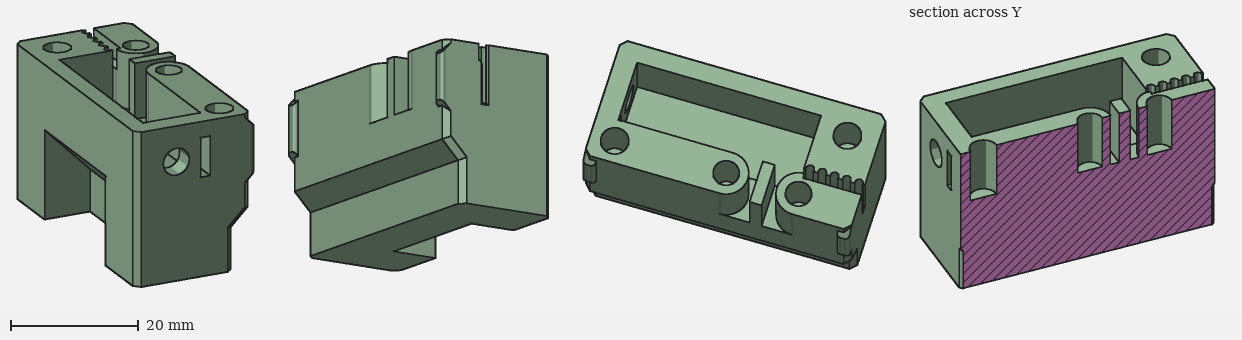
import cadquery as cq

length = 43.5
depth = 20.0
height = 26.0
corner_chamfer = 1.0

lower_depth = 17.0
back_step = depth - lower_depth
upper_back_height = 16.0

pad_width = 2.0
pad_rise = 0.75
pad_radius = 0.6
pad_top_drop = 0.55
pad_bottom_drop = 11.55

pocket_left = 9.9
pocket_right = 40.0
pocket_front = 3.0
pocket_back = 12.95
pocket_drop = 11.05

belt_floor_drop = 9.4
exit_top_drop = 2.7
exit_bottom_drop = 9.3
exit_width = 1.6
clamp_gap = 0.75
tooth_pitch = 2.0
tooth_count = 5
first_root_x = 0.95
root_diameter = 1.3
root_depth = 0.85
relief_width = 0.8
relief_drop = 2.52
relief_end = 9.55
lip_radius = 0.45
mouth_flare = 0.3
mouth_length = 0.17

post_radius = (depth - pocket_back) / 2
post_y = pocket_back + post_radius
left_post_x = 9.5
right_post_x = 21.3
fin_left = 14.45
fin_width = 1.95

post_hole_diameter = 4.1
corner_hole_diameter = 4.4
back_hole_x = 39.55
front_hole_x = 5.0
front_hole_y = 5.0
hole_drop = belt_floor_drop
wall_bore_diameter = 4.5
wall_bore_y = 7.1
wall_bore_drop = (exit_top_drop + exit_bottom_drop) / 2

recess_left = 10.8
recess_width = 21.92
recess_height = 15.05
recess_depth = 7.9


def box(x_min, x_max, y_min, y_max, z_min, z_max):
    """Axis-aligned box between the given limits."""
    size = (x_max - x_min, y_max - y_min, z_max - z_min)
    return cq.Workplane("XY").box(*size, centered=False).translate((x_min, y_min, z_min))


def extrude_along_x(points, x_start, distance):
    """Prism along X from an outline of (y, z) points."""
    return cq.Workplane("YZ").polyline(points).close().extrude(distance).translate((x_start, 0, 0))


def top_hole(x, y, diameter, drop):
    """Vertical cylinder hanging down from the top face."""
    return cq.Workplane("XY").center(x, y).circle(diameter / 2).extrude(drop).translate((0, 0, height - drop))


def make_block():
    """Stepped block with its front and back corner edges chamfered."""
    step_z = height - upper_back_height
    outline = [
        (0, 0),
        (lower_depth, 0),
        (lower_depth, step_z - back_step),
        (depth, step_z),
        (depth, height),
        (0, height),
    ]
    block = extrude_along_x(outline, 0, length)
    return block.edges("#X and (not <Z) and (not >Z)").chamfer(corner_chamfer)


def make_pad(x_min):
    """Rounded corner pad whose ends slope into the back face at 45 degrees."""
    pad_back = depth + pad_rise
    pad_front = depth - corner_chamfer
    slope = pad_back - pad_front
    plan = box(x_min, x_min + pad_width, pad_front, pad_back, 0, height)
    plan = plan.edges("|Z and >Y").fillet(pad_radius)
    top = height - pad_top_drop
    bottom = height - pad_bottom_drop
    profile = [(pad_front, bottom), (pad_back, bottom + slope), (pad_back, top - slope), (pad_front, top)]
    return plan.intersect(extrude_along_x(profile, x_min, pad_width))


def make_front_recess():
    """Open recess in the front and underside, with the sloped roof."""
    profile = [
        (0, 0),
        (recess_depth, 0),
        (recess_depth, recess_height - recess_depth),
        (0, recess_height),
    ]
    return extrude_along_x(profile, recess_left, recess_width)


def make_post_gap():
    """Space around the fin, between the round ends of the two posts."""
    floor_z = height - belt_floor_drop
    gap = box(left_post_x, right_post_x, pocket_back, depth, floor_z, height)
    for post_x in (left_post_x, right_post_x):
        gap = gap.cut(top_hole(post_x, post_y, 2 * post_radius, belt_floor_drop))
    return gap.cut(box(fin_left, fin_left + fin_width, pocket_back, depth, floor_z, height))


def make_belt_clamp():
    """Toothed slot from the left face into the pocket, with a wider upper part."""
    floor_z = height - belt_floor_drop
    tooth_y = pocket_back - clamp_gap
    clamp = box(0, pocket_left, tooth_y, pocket_back, floor_z, height)

    root_y = tooth_y - root_depth + root_diameter / 2
    for index in range(tooth_count):
        root_x = first_root_x + index * tooth_pitch
        clamp = clamp.union(top_hole(root_x, root_y, root_diameter, belt_floor_drop))
    return clamp.union(make_relief()).union(make_mouth(tooth_y))


def make_relief():
    """Wider top of the slot: sloped floor, and a rounded lip at the post end."""
    relief_z = height - relief_drop
    relief_back = pocket_back + relief_width
    lip_x = relief_end + lip_radius
    lip_y = pocket_back + lip_radius
    profile = [
        (pocket_back, height),
        (pocket_back, relief_z - relief_width),
        (relief_back, relief_z),
        (relief_back, height),
    ]
    relief = extrude_along_x(profile, 0, lip_x)
    relief = relief.cut(box(relief_end, lip_x, lip_y, relief_back, 0, height))
    return relief.cut(top_hole(lip_x, lip_y, 2 * lip_radius, height))


def make_mouth(tooth_y):
    """Flared entry of the toothed slot at the left face."""
    wide_depth = belt_floor_drop + mouth_flare
    middle_y = (tooth_y + pocket_back) / 2
    return (
        cq.Workplane("YZ")
        .center(middle_y, height - wide_depth / 2)
        .rect(clamp_gap + 2 * mouth_flare, wide_depth)
        .workplane(offset=mouth_length)
        .center(0, mouth_flare / 2)
        .rect(clamp_gap, belt_floor_drop)
        .loft()
    )


def make_belt_exit():
    """Closed slot through the right wall, beside the back of the pocket."""
    floor_z = height - exit_bottom_drop
    roof_z = height - exit_top_drop
    return box(pocket_right, length, pocket_back - exit_width, pocket_back, floor_z, roof_z)


def make_wall_bore():
    """Round bore along X from the pocket through the right wall."""
    bore = cq.Workplane("YZ").circle(wall_bore_diameter / 2).extrude(length - pocket_right)
    return bore.translate((pocket_right, wall_bore_y, height - wall_bore_drop))


result = make_block()
for pad_x in (0, length - pad_width):
    result = result.union(make_pad(pad_x))

result = result.cut(make_front_recess())
result = result.cut(box(pocket_left, pocket_right, pocket_front, pocket_back, height - pocket_drop, height))
result = result.cut(make_post_gap())
result = result.cut(make_belt_clamp())
result = result.cut(make_belt_exit())
result = result.cut(make_wall_bore())

for post_x in (left_post_x, right_post_x):
    result = result.cut(top_hole(post_x, post_y, post_hole_diameter, hole_drop))
result = result.cut(top_hole(back_hole_x, post_y, corner_hole_diameter, hole_drop))
result = result.cut(top_hole(front_hole_x, front_hole_y, corner_hole_diameter, hole_drop))